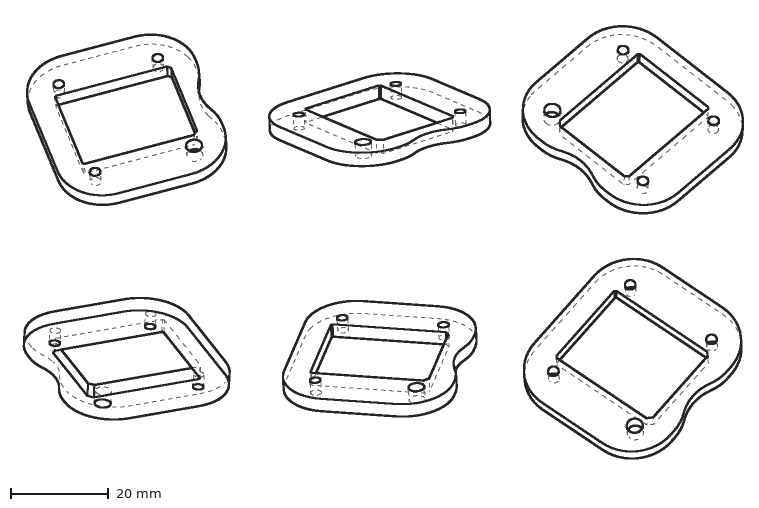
import cadquery as cq
import math

width = 39.77
length = 35.65
thickness = 3.0
tilt_angle = 3.0
corner_radius = 10.0

dip_depth = 2.0
dip_radius = 10.0

window_width = 19.7
window_front = 5.5
window_rear = 30.23
front_chamfer = 0.28
rear_left_chamfer = 0.68
rear_right_chamfer = 1.0

hole_diameter = 2.2
large_hole_diameter = 3.3
hole_spacing_x = 25.37
front_hole_y = 7.2
rear_hole_y = 28.45

dip_half_width = math.sqrt(dip_depth * (4 * dip_radius - dip_depth))
dip_bottom = length - dip_depth
arc_angle = math.asin(dip_half_width / (2 * dip_radius))
half_arc_x = dip_radius * math.sin(arc_angle / 2)
half_arc_drop = dip_radius * (1 - math.cos(arc_angle / 2))


def make_plate():
    """Rounded plate with the dip, its front edge on Y = 0."""
    side = width / 2
    inner_x = side - corner_radius
    corner_mid = corner_radius * (1 - math.sqrt(0.5))
    rear_corner_y = length - corner_radius
    join_x = dip_half_width / 2
    join_y = length - dip_depth / 2
    convex_mid = (dip_half_width - half_arc_x, length - half_arc_drop)
    return (
        cq.Workplane("XY")
        .moveTo(-inner_x, 0)
        .lineTo(inner_x, 0)
        .threePointArc((side - corner_mid, corner_mid), (side, corner_radius))
        .lineTo(side, rear_corner_y)
        .threePointArc((side - corner_mid, length - corner_mid), (inner_x, length))
        .lineTo(dip_half_width, length)
        .threePointArc(convex_mid, (join_x, join_y))
        .threePointArc((0, dip_bottom), (-join_x, join_y))
        .threePointArc((-convex_mid[0], convex_mid[1]), (-dip_half_width, length))
        .lineTo(-inner_x, length)
        .threePointArc((corner_mid - side, length - corner_mid), (-side, rear_corner_y))
        .lineTo(-side, corner_radius)
        .threePointArc((corner_mid - side, corner_mid), (-inner_x, 0))
        .close()
        .extrude(thickness)
    )


def make_window():
    """Through window with a chamfer of its own at each rear corner."""
    window_length = window_rear - window_front
    window = cq.Workplane("XY").box(window_width, window_length, thickness)
    window = window.edges("|Z").edges("<Y").chamfer(front_chamfer)
    window = window.edges("|Z").edges(">Y").edges("<X").chamfer(rear_left_chamfer)
    window = window.edges("|Z").edges(">Y").edges(">X").chamfer(rear_right_chamfer)
    return window.translate((0, (window_front + window_rear) / 2, thickness / 2))


def make_holes(points, diameter):
    return cq.Workplane("XY").pushPoints(points).circle(diameter / 2).extrude(thickness)


hole_x = hole_spacing_x / 2
small_hole_points = [(-hole_x, front_hole_y), (hole_x, front_hole_y), (-hole_x, rear_hole_y)]
large_hole_points = [(hole_x, rear_hole_y)]

result = (
    make_plate()
    .cut(make_window())
    .cut(make_holes(small_hole_points, hole_diameter))
    .cut(make_holes(large_hole_points, large_hole_diameter))
    .rotate((0, 0, 0), (1, 0, 0), tilt_angle)
)